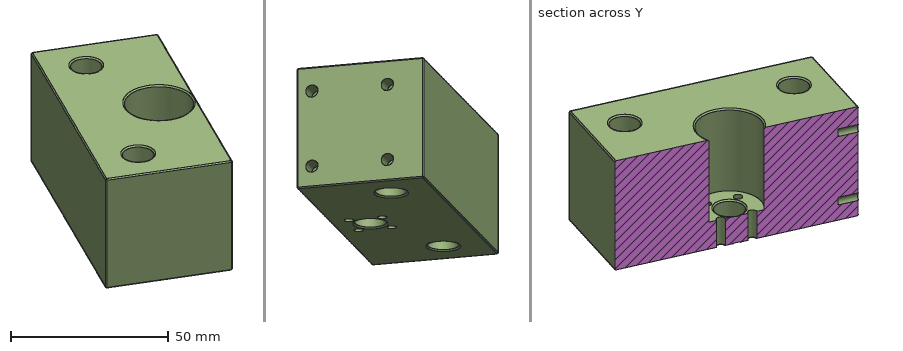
import cadquery as cq

length = 85.0
width = 42.0
height = 40.0
edge_chamfer = 0.4

bore_y = 9.0
bore_diameter = 22.0
bore_floor_thickness = 10.0
center_hole_diameter = 10.2
bolt_hole_diameter = 3.0
bolt_spacing = 11.0

guide_diameter = 10.0
guide_spacing = 59.0
guide_y = -6.5
hole_chamfer = 0.5

end_hole_diameter = 4.0
end_hole_depth = 7.0
end_hole_spacing = 25.0
end_pattern_y = 3.5
end_pattern_z = -0.5

top_z = height / 2
bottom_z = -height / 2
bore_floor_z = bottom_z + bore_floor_thickness


def vertical_hole(x, y, diameter, z_low, z_high):
    return cq.Workplane("XY", origin=(x, y, z_low)).circle(diameter / 2).extrude(z_high - z_low)


def countersink(x, y, diameter, z, direction):
    """Conical cutter that chamfers a hole rim; direction points into the block."""
    cone = cq.Solid.makeCone(
        diameter / 2 + hole_chamfer,
        diameter / 2,
        hole_chamfer,
        cq.Vector(x, y, z),
        cq.Vector(0, 0, direction),
    )
    return cq.Workplane(obj=cone)


result = cq.Workplane("XY").box(length, width, height).edges().chamfer(edge_chamfer)

result = result.cut(vertical_hole(0, bore_y, bore_diameter, bore_floor_z, top_z))
result = result.cut(countersink(0, bore_y, bore_diameter, top_z, -1))
result = result.cut(vertical_hole(0, bore_y, center_hole_diameter, bottom_z, bore_floor_z))
result = result.cut(countersink(0, bore_y, center_hole_diameter, bore_floor_z, -1))
result = result.cut(countersink(0, bore_y, center_hole_diameter, bottom_z, 1))

for x_side in (-1, 1):
    for y_side in (-1, 1):
        bolt_x = x_side * bolt_spacing / 2
        bolt_y = bore_y + y_side * bolt_spacing / 2
        result = result.cut(vertical_hole(bolt_x, bolt_y, bolt_hole_diameter, bottom_z, bore_floor_z))

for side in (-1, 1):
    guide_x = side * guide_spacing / 2
    result = result.cut(vertical_hole(guide_x, guide_y, guide_diameter, bottom_z, top_z))
    result = result.cut(countersink(guide_x, guide_y, guide_diameter, top_z, -1))
    result = result.cut(countersink(guide_x, guide_y, guide_diameter, bottom_z, 1))

end_holes = (
    cq.Workplane("YZ", origin=(-length / 2, end_pattern_y, end_pattern_z))
    .rarray(end_hole_spacing, end_hole_spacing, 2, 2)
    .circle(end_hole_diameter / 2)
    .extrude(end_hole_depth)
)
result = result.cut(end_holes)